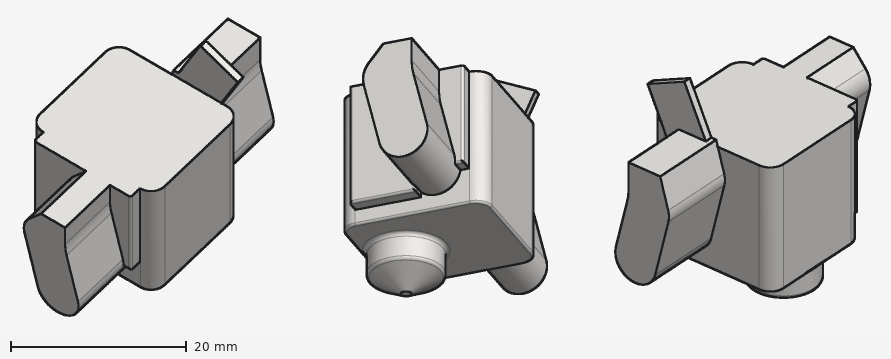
import cadquery as cq
import math

WIDTH = 18.0
TOTAL_DEPTH = 36.0
LEVER_REACH = 10.0
DEPTH = TOTAL_DEPTH - 2 * LEVER_REACH
HEIGHT = 16.92
CORNER_RADIUS = 1.98
EDGE_RADIUS = 0.3
FRONT_Y = -DEPTH / 2
BACK_Y = DEPTH / 2

PLATE_WIDTH = 13.95
PLATE_THICKNESS = 1.73
PLATE_BOTTOM = 1.95
PLATE_STEP_X = 1.08
PLATE_STEP_Z = 4.45

LEVER_RADIUS = 3.0
LOWER_X = 2.95
LOWER_Z = 4.9
UPPER_X = 1.0
UPPER_Z = 12.85
FRONT_LEAN = 40.0
BACK_LEAN = 16.0
BACK_LEVER_TOP = 17.8
FLANK_BLEND = 7.2

FLAG_LENGTH = 11.52
FLAG_TILT = 25.0
FLAG_THICKNESS = 1.0

NOZZLE_X = -4.05
NOZZLE_RADIUS = 4.5
NOZZLE_HEIGHT = 5.55
FLARE_RADIUS = 0.5
SHOULDER_RADIUS = 0.5
TIP_RADIUS = 0.6
CONE_SLOPE = 30.0


def front_sketch(y):
    """XZ sketch plane at the given Y; positive extrusion runs toward -Y."""
    return cq.Workplane(cq.Plane((0, y, 0), xDir=(1, 0, 0), normal=(0, -1, 0)))


def make_body():
    block = cq.Workplane().box(WIDTH, DEPTH, HEIGHT, centered=(True, True, False))
    return block.edges("|Z").fillet(CORNER_RADIUS).faces("<Z").edges().fillet(EDGE_RADIUS)


def make_plate():
    half = PLATE_WIDTH / 2
    outline = [
        (-half, HEIGHT),
        (-half, PLATE_BOTTOM),
        (PLATE_STEP_X, PLATE_BOTTOM),
        (PLATE_STEP_X, PLATE_STEP_Z),
        (half, PLATE_STEP_Z),
        (half, HEIGHT),
    ]
    plate = front_sketch(FRONT_Y).polyline(outline).close().extrude(PLATE_THICKNESS)
    rim = plate.faces("<Y").edges("not >Z")
    return rim.fillet(EDGE_RADIUS)


def on_circle(x, z, degrees):
    angle = math.radians(degrees)
    return (x + LEVER_RADIUS * math.cos(angle), z + LEVER_RADIUS * math.sin(angle))


def make_lever(y, reach, top, lean):
    """Lever whose upper left edge leans by `lean` degrees from vertical."""
    slant = math.degrees(math.atan2(LOWER_X - UPPER_X, UPPER_Z - LOWER_Z))
    right = UPPER_X + LEVER_RADIUS
    lean_start = on_circle(UPPER_X, UPPER_Z, 180 - lean)
    top_left = lean_start[0] + (top - lean_start[1]) * math.tan(math.radians(lean))

    half_slant = math.radians(slant / 2)
    corner_z = UPPER_Z + LEVER_RADIUS * math.tan(half_slant)
    tangent = FLANK_BLEND * math.tan(half_slant)
    blend_low = (right + tangent * math.sin(2 * half_slant), corner_z - tangent * math.cos(2 * half_slant))

    return (
        front_sketch(y)
        .moveTo(top_left, top)
        .lineTo(*lean_start)
        .threePointArc(on_circle(UPPER_X, UPPER_Z, 180 + (slant - lean) / 2),
                       on_circle(UPPER_X, UPPER_Z, 180 + slant))
        .lineTo(*on_circle(LOWER_X, LOWER_Z, 180 + slant))
        .threePointArc(on_circle(LOWER_X, LOWER_Z, 270 + slant),
                       on_circle(LOWER_X, LOWER_Z, slant))
        .lineTo(*blend_low)
        .tangentArcPoint((right, corner_z + tangent), relative=False)
        .lineTo(right, top)
        .close()
        .extrude(reach)
    )


def make_flag():
    strip = cq.Workplane().box(
        2 * LEVER_RADIUS, FLAG_THICKNESS, FLAG_LENGTH, centered=(True, False, False))
    return strip.rotate((0, 0, 0), (0, 1, 0), FLAG_TILT).translate((UPPER_X, BACK_Y, UPPER_Z))


def make_nozzle():
    """Turned nozzle with a flared root that stays within the body width."""
    slope = math.radians(CONE_SLOPE)
    shoulder_z = -NOZZLE_HEIGHT + (NOZZLE_RADIUS - TIP_RADIUS) * math.tan(slope)
    trim = SHOULDER_RADIUS * math.tan((math.pi / 2 - slope) / 2)
    cone_start = (NOZZLE_RADIUS - trim * math.cos(slope), shoulder_z - trim * math.sin(slope))
    nozzle = (
        cq.Workplane("XZ")
        .moveTo(0, EDGE_RADIUS)
        .lineTo(NOZZLE_RADIUS + FLARE_RADIUS, EDGE_RADIUS)
        .lineTo(NOZZLE_RADIUS + FLARE_RADIUS, 0)
        .radiusArc((NOZZLE_RADIUS, -FLARE_RADIUS), -FLARE_RADIUS)
        .lineTo(NOZZLE_RADIUS, shoulder_z + trim)
        .tangentArcPoint(cone_start, relative=False)
        .lineTo(TIP_RADIUS, -NOZZLE_HEIGHT)
        .lineTo(0, -NOZZLE_HEIGHT)
        .close()
        .revolve(360, (0, 0, 0), (0, 1, 0))
        .translate((NOZZLE_X, 0, 0))
    )
    footprint = cq.Workplane().box(WIDTH - 2 * EDGE_RADIUS, DEPTH, 2 * NOZZLE_HEIGHT)
    return nozzle.intersect(footprint)


result = (
    make_body()
    .union(make_plate())
    .union(make_lever(FRONT_Y, LEVER_REACH, HEIGHT, FRONT_LEAN))
    .union(make_lever(BACK_Y, -LEVER_REACH, BACK_LEVER_TOP, BACK_LEAN))
    .union(make_flag())
    .union(make_nozzle())
)